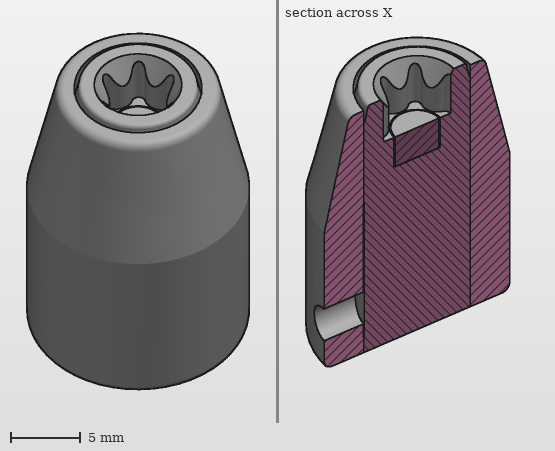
import cadquery as cq
import math

total_height = 23.3
body_diameter = 16.0
body_radius = body_diameter / 2
shoulder_height = 13.07
rim_step = 0.33
housing_height = total_height - rim_step
housing_top_radius = 5.85
edge_fillet = 0.7
taper_slope = (body_radius - housing_top_radius) / (housing_height - shoulder_height)

bore_radius = 4.6
insert_top_radius = 4.3
nose_length = (bore_radius - insert_top_radius) / taper_slope

side_hole_radius = 1.5
side_hole_height = 4.26

lobe_count = 6
lobe_tip_radius = 2.87
lobe_valley_radius = 2.05
lobe_round = 0.5
socket_depth = 4.1
lead_in_radius = 3.15
lead_in_half_angle = math.radians(30)

pin_radius = 1.89
pin_clearance = 0.1
pin_length = 2.8


def polar(radius, angle):
    return (radius * math.cos(angle), radius * math.sin(angle))


def toward(start, end, distance):
    """Point at the given distance from start, in the direction of end."""
    share = distance / math.dist(start, end)
    return tuple(s + share * (e - s) for s, e in zip(start, end))


def make_housing():
    housing = (
        cq.Workplane("XZ")
        .moveTo(0, 0)
        .lineTo(body_radius, 0)
        .lineTo(body_radius, shoulder_height)
        .lineTo(housing_top_radius, housing_height)
        .lineTo(0, housing_height)
        .close()
        .revolve(360, (0, 0), (0, 1))
        .faces("<Z or >Z")
        .edges()
        .fillet(edge_fillet)
    )
    bore = cq.Workplane("XY").circle(bore_radius).extrude(housing_height)
    side_hole = (
        cq.Workplane("XZ")
        .center(0, side_hole_height)
        .circle(side_hole_radius)
        .extrude(-body_radius)
    )
    return housing.cut(bore).cut(side_hole)


def make_socket():
    """Six-lobe cutter: rounded lobe tips joined by tangent concave valleys."""
    half_pitch = math.pi / lobe_count
    tip_center_radius = lobe_tip_radius - lobe_round
    cosine = math.cos(half_pitch)
    valley_round = (
        tip_center_radius**2
        + lobe_valley_radius**2
        - 2 * tip_center_radius * lobe_valley_radius * cosine
        - lobe_round**2
    ) / (2 * (lobe_round - lobe_valley_radius + tip_center_radius * cosine))
    valley_center_radius = lobe_valley_radius + valley_round

    def tangent_point(tip_angle, side):
        tip_center = polar(tip_center_radius, tip_angle)
        valley_center = polar(valley_center_radius, tip_angle + side * half_pitch)
        return toward(tip_center, valley_center, lobe_round)

    first_angle = math.pi / 2
    outline = cq.Workplane("XY").workplane(offset=total_height - socket_depth)
    outline = outline.moveTo(*tangent_point(first_angle, -1))
    for index in range(lobe_count):
        angle = first_angle + 2 * half_pitch * index
        next_angle = angle + 2 * half_pitch
        outline = outline.threePointArc(polar(lobe_tip_radius, angle), tangent_point(angle, 1))
        outline = outline.threePointArc(
            polar(lobe_valley_radius, angle + half_pitch), tangent_point(next_angle, -1)
        )
    return outline.close().extrude(socket_depth)


def make_lead_in():
    full_cone_height = lead_in_radius / math.tan(lead_in_half_angle)
    cone_end_radius = pin_radius + pin_clearance
    cone_depth = full_cone_height * (1 - cone_end_radius / lead_in_radius)
    cone = cq.Solid.makeCone(cone_end_radius, lead_in_radius, cone_depth)
    return cq.Workplane(cone.translate(cq.Vector(0, 0, total_height - cone_depth)))


def make_insert():
    insert = (
        cq.Workplane("XZ")
        .moveTo(0, 0)
        .lineTo(bore_radius, 0)
        .lineTo(bore_radius, housing_height - nose_length)
        .lineTo(insert_top_radius, housing_height)
        .radiusArc((insert_top_radius - rim_step, total_height), -rim_step)
        .lineTo(0, total_height)
        .close()
        .revolve(360, (0, 0), (0, 1))
    )
    pin_recess = make_pin(pin_radius + pin_clearance)
    return insert.cut(make_socket()).cut(make_lead_in()).cut(pin_recess)


def make_pin(radius):
    """Cylinder whose top is level with the socket floor."""
    top = total_height - socket_depth
    return cq.Workplane("XY").workplane(offset=top - pin_length).circle(radius).extrude(pin_length)


housing = make_housing()
insert = make_insert()
pin = make_pin(pin_radius)

result = cq.Compound.makeCompound([*housing.solids().vals(), *insert.solids().vals(), *pin.solids().vals()])